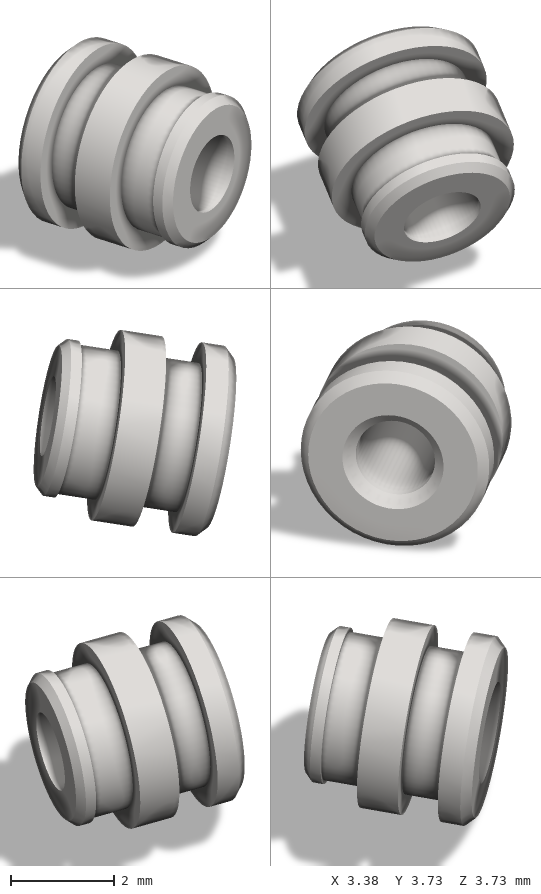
import cadquery as cq

length = 3.38
flange_diameter = 3.73

front_flange_end = 0.63
middle_flange_start = 1.42
middle_flange_end = 2.23
rear_ring_start = 3.018

neck_diameter = 2.92
rear_ring_diameter = 3.075
bore_diameter = 1.565
countersink_diameter = 2.0

front_chamfer = 0.185
rear_chamfer = 0.15
countersink_depth = (countersink_diameter - bore_diameter) / 2


def cylinder(start, end, diameter):
    """Solid cylinder along X between two axial stations."""
    return cq.Workplane("YZ", origin=(start, 0, 0)).circle(diameter / 2).extrude(end - start)


front_flange = cylinder(0, front_flange_end, flange_diameter).faces("<X").chamfer(front_chamfer)
middle_flange = cylinder(middle_flange_start, middle_flange_end, flange_diameter)
rear_ring = cylinder(rear_ring_start, length, rear_ring_diameter).faces(">X").chamfer(rear_chamfer)
neck = cylinder(front_flange_end, rear_ring_start, neck_diameter)

body = front_flange.union(neck).union(middle_flange).union(rear_ring)

bore = cylinder(0, length, bore_diameter)
result = body.cut(bore)
result = result.faces("<X").edges("%CIRCLE").edges(cq.selectors.RadiusNthSelector(0)).chamfer(countersink_depth)